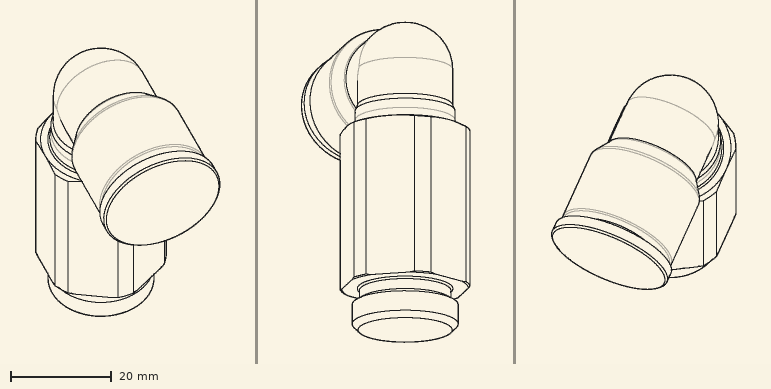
import cadquery as cq
import math


tube_radius = 9.5

tube_end_x = 9.6
cone_start_x = 10.0
cone_start_radius = 9.75
body_start_x = 13.2
body_radius = 11.8
body_end_x = 28.0
body_rear_round = 1.1
body_front_round = 0.3

ring_neck_radius = 8.6
flange_start_x = 29.5
flange_end_x = 31.93
flange_half_width = 12.5
flange_half_height = 11.5
flange_chamfer = 0.4

collar_top_z = -7.4
collar_shoulder_z = -8.5
collar_shoulder_radius = 9.95
collar_flare_z = -10.4
collar_foot_z = -12.0
collar_foot_radius = 10.2
collar_skirt_radius = 10.55

hex_sides = 6
hex_across_flats = 24.0
hex_corner_radius = 13.0
hex_top_z = -12.45
hex_bottom_z = -45.0
hex_bevel_angle = 24.0
hex_top_bevel_width = 1.0
hex_bottom_bevel_width = 0.4

neck_radius = 9.1
neck_relief = 0.4
neck_end_z = -47.45
end_radius = 10.55
end_top_z = -48.3
end_bottom_z = -53.5
end_chamfer = 1.2


def make_elbow():
    stem = cq.Workplane("XY").circle(tube_radius).extrude(collar_top_z)
    outlet = cq.Workplane("YZ").circle(tube_radius).extrude(tube_end_x)
    return stem.union(outlet).union(cq.Workplane("XY").sphere(tube_radius))


def make_outlet_body():
    profile = [
        (tube_end_x, 0),
        (tube_end_x, tube_radius),
        (cone_start_x, cone_start_radius),
        (body_start_x, body_radius),
        (body_end_x, body_radius),
        (body_end_x, 0),
    ]
    body = cq.Workplane("XZ").polyline(profile).close().revolve(360, (0, 0, 0), (1, 0, 0))
    body = body.faces(">X").edges().fillet(body_front_round)
    rear_circle = cq.selectors.NearestToPointSelector((body_start_x, 0, 0))
    return body.edges("%CIRCLE").edges(rear_circle).fillet(body_rear_round)


def make_release_ring():
    neck_length = flange_start_x - body_end_x
    neck = cq.Workplane("YZ", origin=(body_end_x, 0, 0)).circle(ring_neck_radius).extrude(neck_length)
    flange = (
        cq.Workplane("YZ", origin=(flange_start_x, 0, 0))
        .ellipse(flange_half_width, flange_half_height)
        .extrude(flange_end_x - flange_start_x)
        .faces(">X")
        .edges()
        .chamfer(flange_chamfer)
    )
    return neck.union(flange)


def revolve_about_stem(profile):
    return cq.Workplane("XZ").polyline(profile).close().revolve(360, (0, 0, 0), (0, 1, 0))


def make_collar():
    return revolve_about_stem([
        (0, collar_top_z),
        (tube_radius, collar_top_z),
        (collar_shoulder_radius, collar_shoulder_z),
        (collar_shoulder_radius, collar_flare_z),
        (collar_foot_radius, collar_foot_z),
        (collar_skirt_radius, hex_top_z),
        (0, hex_top_z),
    ])


def make_hexagon():
    across_corners = hex_across_flats / math.cos(math.pi / hex_sides)
    prism = (
        cq.Workplane("XY", origin=(0, 0, hex_bottom_z))
        .polygon(hex_sides, across_corners)
        .extrude(hex_top_z - hex_bottom_z)
    )
    bevel_slope = math.tan(math.radians(hex_bevel_angle))
    top_bevel_height = hex_top_bevel_width * bevel_slope
    bottom_bevel_height = hex_bottom_bevel_width * bevel_slope
    envelope = revolve_about_stem([
        (0, hex_top_z),
        (hex_corner_radius - hex_top_bevel_width, hex_top_z),
        (hex_corner_radius, hex_top_z - top_bevel_height),
        (hex_corner_radius, hex_bottom_z + bottom_bevel_height),
        (hex_corner_radius - hex_bottom_bevel_width, hex_bottom_z),
        (0, hex_bottom_z),
    ])
    return prism.intersect(envelope)


def make_male_end():
    return revolve_about_stem([
        (0, hex_bottom_z),
        (neck_radius + neck_relief, hex_bottom_z),
        (neck_radius, hex_bottom_z - neck_relief),
        (neck_radius, neck_end_z),
        (end_radius, end_top_z),
        (end_radius, end_bottom_z + end_chamfer),
        (end_radius - end_chamfer, end_bottom_z),
        (0, end_bottom_z),
    ])


result = (
    make_elbow()
    .union(make_outlet_body())
    .union(make_release_ring())
    .union(make_collar())
    .union(make_hexagon())
    .union(make_male_end())
)